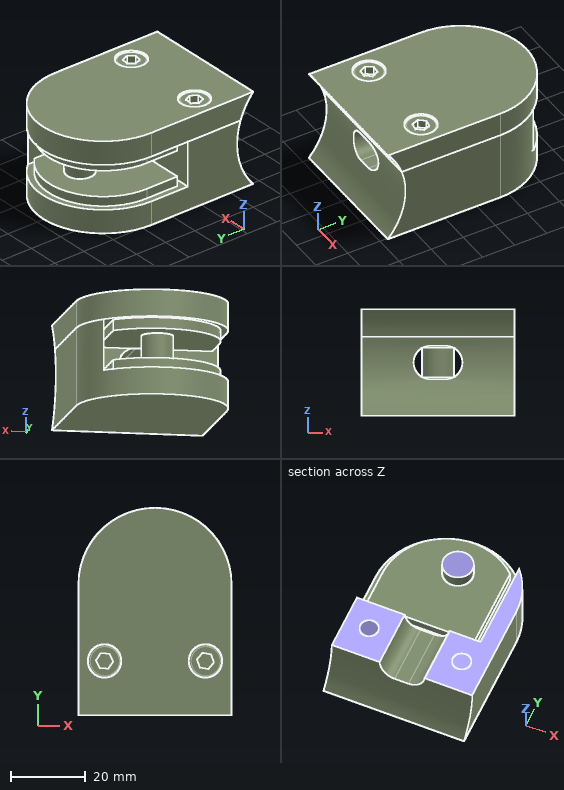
import cadquery as cq
import math

length = 55.5
width = 41.0
height = 28.5
end_radius = width / 2
front_y = end_radius - length
top_z = height / 2
tube_radius = 21.2

flange_thickness = 7.3
slot_height = height - 2 * flange_thickness
slot_top_z = slot_height / 2
front_wall_end_y = front_y + 22.4
side_wall_thickness = 5.0
side_wall_x = end_radius - side_wall_thickness

gasket_thickness = 2.95
gasket_inset = 2.0
gasket_side_gap = 2.6
gasket_inner_z = slot_top_z - gasket_thickness

fixing_hole_length = 13.0
fixing_hole_height = 8.95

pin_diameter = 8.6
pin_chamfer = 0.1
pin_y = 8.0

screw_spacing = 27.0
screw_y = front_y + 14.55
counterbore_diameter = 9.0
counterbore_depth = 5.2
head_recess = 0.2
head_diameter = 8.8
head_edge_radius = 0.5
shank_diameter = 5.0
shank_length = 11.0
socket_width = 4.0
socket_depth = 2.5
socket_angles = (26.0, 20.0)

screw_places = [(-screw_spacing / 2, screw_y), (screw_spacing / 2, screw_y)]
head_seat_z = top_z - counterbore_depth
head_top_z = top_z - head_recess


def rounded_end_block(radius, y_min, z_min, z_max):
    """Block with straight sides from y_min and a half-round end of the given radius."""
    return (
        cq.Workplane("XY", origin=(0, 0, z_min))
        .moveTo(-radius, y_min)
        .lineTo(radius, y_min)
        .lineTo(radius, 0)
        .threePointArc((0, radius), (-radius, 0))
        .close()
        .extrude(z_max - z_min)
    )


def box_between(x_min, x_max, y_min, y_max, z_min, z_max):
    """Box given by its limits."""
    return cq.Workplane("XY").box(
        x_max - x_min, y_max - y_min, z_max - z_min, centered=False
    ).translate((x_min, y_min, z_min))


def post():
    """Round post whose surface meets the front edges of the top and bottom faces."""
    axis_y = front_y - math.sqrt(tube_radius**2 - top_z**2)
    return cq.Workplane("YZ", origin=(-width / 2, axis_y, 0)).circle(tube_radius).extrude(width)


def screw_shanks():
    """Both shanks, from the head seats downwards."""
    return (
        cq.Workplane("XY", origin=(0, 0, head_seat_z))
        .pushPoints(screw_places)
        .circle(shank_diameter / 2)
        .extrude(-shank_length)
    )


def make_base():
    """Bottom flange with the front wall and one side wall."""
    blank = rounded_end_block(end_radius, front_y, -top_z, slot_top_z)
    glass_slot = box_between(
        -end_radius, side_wall_x, front_wall_end_y, end_radius, -slot_top_z, slot_top_z
    )
    fixing_hole = (
        cq.Workplane("XZ", origin=(0, front_y, 0))
        .slot2D(fixing_hole_length, fixing_hole_height)
        .extrude(front_y - front_wall_end_y)
    )
    return blank.cut(glass_slot).cut(post()).cut(fixing_hole).cut(screw_shanks())


def make_cover():
    """Top flange with counterbored screw holes."""
    blank = rounded_end_block(end_radius, front_y, slot_top_z, top_z)
    counterbores = (
        cq.Workplane("XY", origin=(0, 0, head_seat_z))
        .pushPoints(screw_places)
        .circle(counterbore_diameter / 2)
        .extrude(counterbore_depth)
    )
    return blank.cut(post()).cut(counterbores).cut(screw_shanks())


def make_gasket(z_min):
    """Pad set back from the flange edge and from both walls."""
    y_min = front_wall_end_y + gasket_inset
    z_max = z_min + gasket_thickness
    blank = rounded_end_block(end_radius - gasket_inset, y_min, z_min, z_max)
    wall_side = box_between(side_wall_x - gasket_side_gap, end_radius, y_min, end_radius, z_min, z_max)
    return blank.cut(wall_side)


def make_pin():
    """Round pin with lightly chamfered ends, reaching from gasket to gasket."""
    return (
        cq.Workplane("XY", origin=(0, pin_y, -gasket_inner_z))
        .circle(pin_diameter / 2)
        .extrude(2 * gasket_inner_z)
        .edges("%CIRCLE")
        .chamfer(pin_chamfer)
    )


def make_screw(place, socket_angle):
    """Cap screw with a rounded head edge and a hexagon socket."""
    x, y = place
    head = (
        cq.Workplane("XY")
        .circle(head_diameter / 2)
        .extrude(head_top_z - head_seat_z)
        .faces(">Z")
        .edges()
        .fillet(head_edge_radius)
    )
    shank = cq.Workplane("XY").circle(shank_diameter / 2).extrude(-shank_length)
    socket = (
        cq.Workplane("XY", origin=(0, 0, head_top_z - head_seat_z))
        .polygon(6, socket_width, circumscribed=True)
        .extrude(-socket_depth)
        .rotate((0, 0, 0), (0, 0, 1), socket_angle)
    )
    return head.union(shank).cut(socket).translate((x, y, head_seat_z))


base = make_base()
cover = make_cover()
gaskets = [make_gasket(z_min) for z_min in (-slot_top_z, gasket_inner_z)]
pin = make_pin()
screws = [make_screw(place, angle) for place, angle in zip(screw_places, socket_angles)]

result = cq.Compound.makeCompound(
    [
        base.val(),
        cover.val(),
        *[gasket.val() for gasket in gaskets],
        pin.val(),
        *[screw.val() for screw in screws],
    ]
)